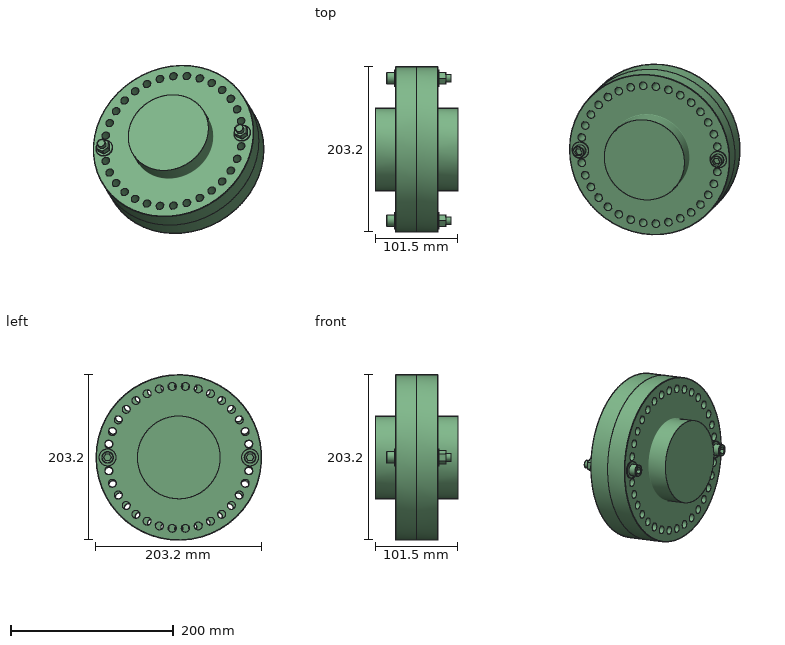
import cadquery as cq
import math

flange_diameter = 203.2
hub_diameter = 101.5
overall_length = 101.5
flange_thickness = 25.8
edge_chamfer = 0.5
hub_fillet = 0.5

hole_circle_diameter = 174.8
hole_diameter = 9.5
left_hole_count = 34
right_hole_count = 32

shank_diameter = hole_diameter
head_diameter = 14.2
head_height = 9.5
head_chamfer = 0.5
socket_across_flats = 8.1
socket_depth = 5.7
bolt_end_x = 42.0
washer_diameter = 20.7
washer_thickness = 1.5
nut_across_flats = 14.2
nut_height = 8.5

half_length = overall_length / 2
flange_radius = flange_diameter / 2
hub_radius = hub_diameter / 2
washer_outer_x = flange_thickness + washer_thickness
head_end_x = -(washer_outer_x + head_height)
bolt_offset_y = hole_circle_diameter / 2


def corner_diameter(across_flats):
    """Diameter of the circle through the corners of a hexagon."""
    return across_flats / math.cos(math.pi / 6)


def section_at(x, y=0):
    """Workplane facing +X at the given X, centred on the given Y; local x is Y, local y is Z."""
    return cq.Workplane("YZ", origin=(x, y, 0))


def flange(side, hole_count):
    """Flange with its hub; side is -1 for the -X half and +1 for the +X half."""
    face_x = side * flange_thickness
    body = (
        cq.Workplane("XY")
        .lineTo(side * half_length, 0)
        .lineTo(side * half_length, hub_radius)
        .lineTo(face_x + side * hub_fillet, hub_radius)
        .radiusArc((face_x, hub_radius + hub_fillet), side * hub_fillet)
        .lineTo(face_x, flange_radius - edge_chamfer)
        .lineTo(face_x - side * edge_chamfer, flange_radius)
        .lineTo(0, flange_radius)
        .close()
        .revolve(360, (0, 0, 0), (1, 0, 0))
    )
    holes = (
        section_at(0)
        .polarArray(hole_circle_diameter / 2, 0, 360, hole_count)
        .circle(hole_diameter / 2)
        .extrude(face_x)
    )
    return body.cut(holes)


def bolt(y):
    """Socket head cap screw pointing along +X."""
    head = (
        section_at(head_end_x, y)
        .circle(head_diameter / 2)
        .extrude(head_height)
        .faces("<X").edges().chamfer(head_chamfer)
    )
    shank = section_at(-washer_outer_x, y).circle(shank_diameter / 2).extrude(washer_outer_x + bolt_end_x)
    socket = section_at(head_end_x, y).polygon(6, corner_diameter(socket_across_flats)).extrude(socket_depth)
    return head.union(shank).cut(socket)


def washer(start_x, y):
    """Flat washer occupying one washer thickness from start_x towards +X."""
    return (
        section_at(start_x, y)
        .circle(washer_diameter / 2)
        .circle(shank_diameter / 2)
        .extrude(washer_thickness)
    )


def nut(y):
    """Hexagon nut with two flats facing +Y and -Y."""
    hexagon = section_at(washer_outer_x, y).transformed(rotate=(0, 0, 30))
    return (
        hexagon
        .polygon(6, corner_diameter(nut_across_flats))
        .circle(shank_diameter / 2)
        .extrude(nut_height)
    )


left_flange = flange(-1, left_hole_count)
right_flange = flange(1, right_hole_count)

fasteners = []
for bolt_y in (-bolt_offset_y, bolt_offset_y):
    fasteners.append(bolt(bolt_y).val())
    fasteners.append(washer(-washer_outer_x, bolt_y).val())
    fasteners.append(washer(flange_thickness, bolt_y).val())
    fasteners.append(nut(bolt_y).val())

result = cq.Compound.makeCompound([left_flange.val(), right_flange.val(), *fasteners])